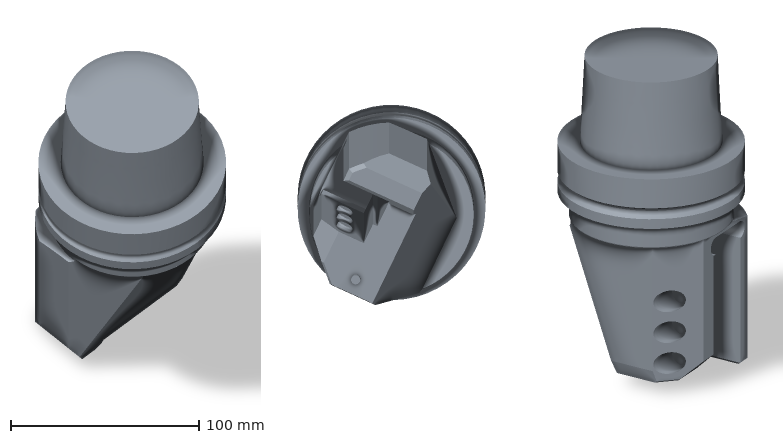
import cadquery as cq

shank_height = 50.0
shank_top_radius = 35.5
shank_base_radius = 38.0
flange_radius = 99.9 / 2
flange_bottom = -29.0
groove_radius = 91.9 / 2
groove_top = -17.0
groove_floor_top = -19.1
groove_floor_bottom = -20.2
groove_bottom = -23.3
collar_radius = 43.8
collar_edge_radius = 87.1 / 2
collar_bottom = -43.0
collar_chamfer_height = 0.5

block_bottom = shank_height - 181.9
block_radius = 51.7
shoulder_top = -44.2
shoulder_bottom = -47.0
shoulder_land_radius = 44.7
shoulder_land_bottom = -44.7
block_left = -40.2
block_front = -46.2
block_rear = 31.8
left_face_end = 12.2
front_face_end = -1.0
slant_top_x = 32.0
slant_bottom_x = 0.4
block_reach = slant_top_x + 9.1

rear_bottom = -124.8
step_y = -24.0
step_chamfer = 3.1
left_chamfer_width = 2.4
left_chamfer_height = 2.0
front_chamfer_depth = 9.0
front_chamfer_top = -116.6
rear_left_chamfer = 10.2
rear_bevel_chamfer = 1.1
rear_chamfer_depth = 1.8
rear_chamfer_height = 7.3

slot_front = -25.3
slot_rear = 2.2
slot_floor_x = -15.3
deep_floor_x = -12.7
deep_floor_end = -9.3
relief_front = -29.5
relief_rear = 4.7
relief_top = -47.1
relief_bottom = -57.1

screw_x = -27.1
first_screw_z = -77.7
screw_pitch = 18.0
screw_count = 3
screw_hole_diameter = 12.5
screw_hole_floor_y = 12.7
screw_tip_diameter = 8.5
screw_tip_length = 2.7
screw_tip_chamfer = 0.7

pin_diameter = 5.0
pin_x = -11.0
pin_y = 21.6
pin_length = 2.5

overlap = 1.8


def box_between(x_range, y_range, z_range):
    """Box given by its lower and upper limit on each axis."""
    sizes = [high - low for low, high in (x_range, y_range, z_range)]
    corner = (x_range[0], y_range[0], z_range[0])
    return cq.Workplane("XY").box(*sizes, centered=False).translate(corner)


def make_shank():
    """Round upper body: taper, grooved flange and collar."""
    profile = [
        (0, shank_height),
        (shank_top_radius, shank_height),
        (shank_base_radius, 0),
        (flange_radius, 0),
        (flange_radius, groove_top),
        (groove_radius, groove_floor_top),
        (groove_radius, groove_floor_bottom),
        (flange_radius, groove_bottom),
        (flange_radius, flange_bottom),
        (collar_edge_radius, flange_bottom),
        (collar_edge_radius, flange_bottom - collar_chamfer_height),
        (collar_radius, flange_bottom - 2 * collar_chamfer_height),
        (collar_radius, collar_bottom + collar_chamfer_height),
        (collar_edge_radius, collar_bottom),
        (0, collar_bottom),
    ]
    return cq.Workplane("XZ").polyline(profile).close().revolve(360, (0, 0), (0, 1))


def make_block_envelope():
    """Turned limit of the block, with its conical shoulder and lower edge chamfer."""
    profile = [
        (0, collar_bottom + overlap),
        (collar_radius, collar_bottom + overlap),
        (collar_radius, shoulder_top),
        (shoulder_land_radius, shoulder_land_bottom),
        (block_radius, shoulder_bottom),
        (block_radius, block_bottom + left_chamfer_height),
        (block_radius - left_chamfer_width, block_bottom),
        (0, block_bottom),
    ]
    return cq.Workplane("XZ").polyline(profile).close().revolve(360, (0, 0), (0, 1))


def make_plan_prism():
    """Block outline seen along Z, with 45 degree bevels at the front right and rear left."""
    outline = [
        (block_left, block_front),
        (front_face_end, block_front),
        (block_reach, block_front + block_reach - front_face_end),
        (block_reach, block_rear),
        (block_left + block_rear - left_face_end, block_rear),
        (block_left, left_face_end),
    ]
    prism = cq.Workplane("XY").workplane(offset=block_bottom).polyline(outline).close()
    return prism.extrude(collar_bottom + overlap - block_bottom)


def make_slant_prism():
    """Block outline along Y: slanted right side and lower left chamfer."""
    slant_slope = (slant_top_x - slant_bottom_x) / (collar_bottom - block_bottom)
    outline = [
        (block_left, collar_bottom + overlap),
        (slant_top_x, collar_bottom + overlap),
        (slant_top_x, collar_bottom),
        (slant_top_x - slant_slope * (collar_bottom - block_bottom), block_bottom),
        (block_left + left_chamfer_width, block_bottom),
        (block_left, block_bottom + left_chamfer_height),
    ]
    return cq.Workplane("XZ").polyline(outline).close().extrude(block_radius, both=True)


def make_step_prism():
    """Block outline along X: the long front jaw and the shorter rear."""
    outline = [
        (block_front, collar_bottom + overlap),
        (block_front, front_chamfer_top),
        (block_front + front_chamfer_depth, block_bottom),
        (step_y - step_chamfer, block_bottom),
        (step_y, block_bottom + step_chamfer),
        (step_y, rear_bottom),
        (block_rear - rear_chamfer_depth, rear_bottom),
        (block_rear, rear_bottom + rear_chamfer_height),
        (block_rear, collar_bottom + overlap),
    ]
    return cq.Workplane("YZ").polyline(outline).close().extrude(block_radius, both=True)


def make_rear_left_chamfer():
    """Wedge that bevels the lower left edge of the rear jaw."""
    wedge = [
        (block_left, rear_bottom + rear_left_chamfer),
        (block_left, rear_bottom),
        (block_left + rear_left_chamfer, rear_bottom),
    ]
    plane = cq.Workplane("XZ", origin=(0, slot_front, 0))
    return plane.polyline(wedge).close().extrude(slot_front - block_rear)


def make_slot():
    """Two-level blade slot with a round-ended relief across its top."""
    x_start = block_left - overlap
    z_range = (block_bottom - overlap, (relief_top + relief_bottom) / 2)
    shallow_z_range = (block_bottom - overlap, relief_bottom)
    shallow = box_between((x_start, slot_floor_x), (slot_front, slot_rear), shallow_z_range)
    deep = box_between((x_start, deep_floor_x), (slot_front, deep_floor_end), z_range)
    relief_center = ((relief_front + relief_rear) / 2, (relief_top + relief_bottom) / 2)
    relief = (
        cq.Workplane("YZ", origin=(x_start, 0, 0))
        .center(*relief_center)
        .slot2D(relief_rear - relief_front, relief_top - relief_bottom)
        .extrude(deep_floor_x - x_start)
    )
    return shallow.union(deep).union(relief)


def make_screw_hole(z):
    """Screw hole from the rear."""
    plane = cq.Workplane("XZ", origin=(screw_x, block_rear + overlap, z))
    return plane.circle(screw_hole_diameter / 2).extrude(block_rear + overlap - screw_hole_floor_y)


def make_screw_tip(z):
    """Chamfered screw end standing out into the slot."""
    plane = cq.Workplane("XZ", origin=(screw_x, slot_rear + overlap, z))
    tip = plane.circle(screw_tip_diameter / 2).extrude(screw_tip_length + overlap)
    return tip.faces("<Y").chamfer(screw_tip_chamfer)


def make_pin():
    """Short pin below the rear jaw."""
    plane = cq.Workplane("XY", origin=(pin_x, pin_y, rear_bottom - pin_length))
    return plane.circle(pin_diameter / 2).extrude(pin_length + overlap)


block = make_block_envelope().intersect(make_plan_prism())
block = block.intersect(make_slant_prism()).intersect(make_step_prism())
block = block.cut(make_rear_left_chamfer()).cut(make_slot())

bevel_edge_y = (block_rear + left_face_end + rear_left_chamfer) / 2
bevel_edge_point = (block_left + bevel_edge_y - left_face_end, bevel_edge_y, rear_bottom)
block = block.edges(cq.NearestToPointSelector(bevel_edge_point)).chamfer(rear_bevel_chamfer)

for index in range(screw_count):
    screw_z = first_screw_z - index * screw_pitch
    block = block.cut(make_screw_hole(screw_z)).union(make_screw_tip(screw_z))

result = make_shank().union(block).union(make_pin())